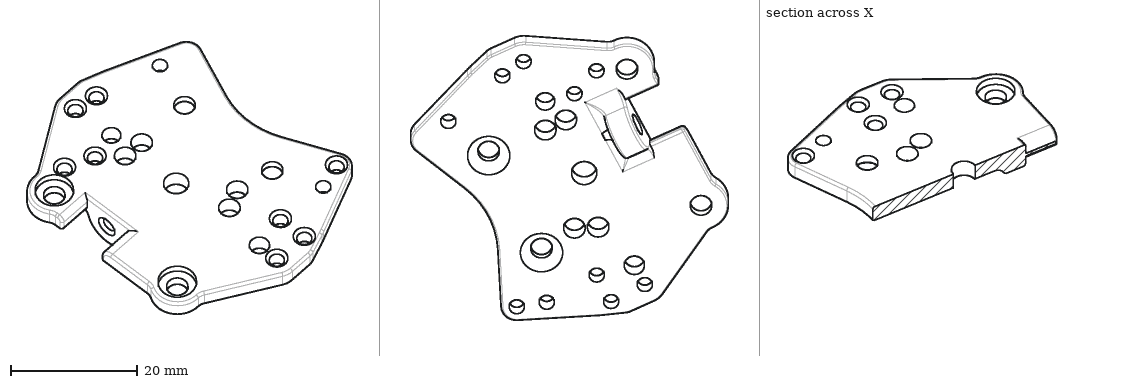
import cadquery as cq
import math

thickness = 3.0
top_edge_radius = 0.45
bottom_edge_radius = 0.3
front_y = -17.55
rear_valley = (0, 15.7, 15.05)
right_corners = [
    (17.55, 23.25, 2.5),
    (23.55, 8.75, 15.05),
    (25.05, 4.55, 2.5),
    (25.05, -0.95, 3.35),
    (15.15, front_y, 0),
]

ear_x = 13.3
ear_y = -14.15
ear_radius = 4.35
ear_blend_radius = 2.0

notch_left = -8.45
notch_right = 0.0
notch_back = -11.6
notch_left_radius = 1.0
notch_right_radius = 2.0
notch_back_radius = 0.5

tab_x = -4.3
tab_z = -4.0
tab_radius = 4.25
tab_depth = 4.0
tab_side_flare = 2.75
tab_back_flare = 2.0
tab_edge_radius = 0.4

bolt_hole = 3.4
ear_counterbore = 6.1
ear_counterbore_depth = 1.3
rear_bolt_x = 9.45
rear_bolt_y = 12.25
rear_countersink_depth = 1.65

screw_hole = 2.4
screw_chamfer = 0.55
screw_points = [
    (16.25, 19.95), (16.9, 6.1), (22.05, 6.1), (21.75, 0),
    (-21.0, 4.1), (-21.75, 0), (-13.15, -4.75), (-15.2, -9.7),
]

plain_holes = [
    (4.0, [(0, 0)]),
    (3.0, [(-14.0, 0)]),
    (3.2, [(18.0, 0)]),
    (2.4, [(-17.65, 15.35), (17.65, 15.35)]),
    (3.4, [(-9.45, 2.2), (9.45, 2.2), (-9.6, -1.5), (7.95, 5.65)]),
]

margin = 0.05


def rounded_outline(corners):
    """Closed outline through the corners, each rounded by a tangent arc of its own radius."""
    outline = cq.Workplane("XY")
    for i, (x, y, radius) in enumerate(corners):
        corner = cq.Vector(x, y)
        next_corner = corners[(i + 1) % len(corners)]
        to_previous = (cq.Vector(*corners[i - 1][:2]) - corner).normalized()
        to_next = (cq.Vector(*next_corner[:2]) - corner).normalized()
        half_angle = to_previous.getAngle(to_next) / 2
        setback = radius / math.tan(half_angle)
        inset = radius / math.sin(half_angle) - radius
        start = corner + to_previous * setback
        middle = corner + (to_previous + to_next).normalized() * inset
        end = corner + to_next * setback
        if i == 0:
            outline = outline.moveTo(start.x, start.y)
        else:
            outline = outline.lineTo(start.x, start.y)
        if radius > 0:
            outline = outline.threePointArc((middle.x, middle.y), (end.x, end.y))
    return outline.close()


def both_sides(x, y):
    return [(-x, y), (x, y)]


def make_plate():
    """Plate with the two ears blended into its front corners."""
    left_corners = [(-x, y, radius) for x, y, radius in reversed(right_corners)]
    plate = rounded_outline([rear_valley] + right_corners + left_corners).extrude(-thickness)
    ears = cq.Workplane("XY").pushPoints(both_sides(ear_x, ear_y)).circle(ear_radius).extrude(-thickness)
    plate = plate.union(ears)
    reach = ear_radius + ear_blend_radius
    for x in (-ear_x, ear_x):
        ear_zone = cq.selectors.BoxSelector(
            (x - reach, ear_y - ear_radius, -thickness),
            (x + reach, ear_y + ear_radius, 0),
        )
        plate = plate.edges("|Z").edges(ear_zone).fillet(ear_blend_radius)
    return plate


def cut_notch(plate):
    """Notch through the front edge; each wall rounds into the top face with its own radius."""
    middle_x = (notch_left + notch_right) / 2
    middle_y = (front_y + notch_back) / 2
    length = notch_back - front_y
    notch = (
        cq.Workplane("XY", origin=(middle_x, front_y, 0))
        .rect(notch_right - notch_left, 2 * length).extrude(-thickness)
    )
    plate = plate.cut(notch)
    for x, y, radius in [
        (notch_left, middle_y, notch_left_radius),
        (notch_right, middle_y, notch_right_radius),
        (middle_x, notch_back, notch_back_radius),
    ]:
        wall_top = cq.selectors.NearestToPointSelector((x, y, 0))
        plate = plate.edges(wall_top).fillet(radius)
    return plate


def round_rim(plate, face, radius):
    """Round the outer rim of the top or bottom face, leaving out the edges of the notch."""
    notch_zone = cq.selectors.BoxSelector(
        (notch_left - notch_left_radius - margin, front_y + margin, -thickness - margin),
        (notch_right + notch_right_radius + margin, notch_back + notch_back_radius + margin, margin),
    )
    rim = cq.selectors.SubtractSelector(cq.selectors.Selector(), notch_zone)
    return plate.faces(face).edges(rim).fillet(radius)


def make_tab():
    """Round hinge tab, sunk into the plate, that flares into the underside at its sides and back."""
    sunk_z = -thickness / 2
    flare_z = -thickness - tab_side_flare
    flare_x = math.sqrt((tab_radius + tab_side_flare) ** 2 - (flare_z - tab_z) ** 2)
    touch_ratio = tab_radius / (tab_radius + tab_side_flare)
    touch_x = flare_x * touch_ratio
    touch_z = tab_z + (flare_z - tab_z) * touch_ratio
    front_profile = (
        cq.Workplane("XZ", origin=(tab_x, 0, 0))
        .moveTo(-flare_x, sunk_z)
        .lineTo(-flare_x, -thickness)
        .radiusArc((-touch_x, touch_z), tab_side_flare)
        .threePointArc((0, tab_z - tab_radius), (touch_x, touch_z))
        .radiusArc((flare_x, -thickness), tab_side_flare)
        .lineTo(flare_x, sunk_z)
        .close()
        .extrude(-front_y)
    )
    tab_back = notch_back + tab_depth
    bottom_z = tab_z - 2 * tab_radius
    side_profile = (
        cq.Workplane("YZ", origin=(tab_x, 0, 0))
        .moveTo(notch_back, sunk_z)
        .lineTo(notch_back, bottom_z)
        .lineTo(tab_back, bottom_z)
        .lineTo(tab_back, -thickness - tab_back_flare)
        .radiusArc((tab_back + tab_back_flare, -thickness), tab_back_flare)
        .lineTo(tab_back + tab_back_flare, sunk_z)
        .close()
        .extrude(2 * flare_x, both=True)
    )
    tab = front_profile.intersect(side_profile)
    for y in (notch_back, tab_back):
        rim = cq.selectors.NearestToPointSelector((tab_x, y, tab_z - tab_radius))
        tab = tab.edges(rim).fillet(tab_edge_radius)
    return tab


def flared_drill(workplane, points, diameter, length, flare):
    """Cutters for through holes that start with a 45 degree flare on the given workplane."""
    radius = diameter / 2
    centres = workplane.pushPoints(points)
    shafts = centres.circle(radius).extrude(-length)
    mouths = centres.circle(radius + flare).extrude(-flare, taper=45)
    return shafts.union(mouths)


def cut_holes(body):
    top = cq.Workplane("XY")
    for diameter, points in plain_holes:
        body = body.cut(top.pushPoints(points).circle(diameter / 2).extrude(-thickness))

    ears = top.pushPoints(both_sides(ear_x, ear_y))
    body = body.cut(ears.circle(bolt_hole / 2).extrude(-thickness))
    body = body.cut(ears.circle(ear_counterbore / 2).extrude(-ear_counterbore_depth))

    underside = cq.Workplane("XY", origin=(0, 0, -thickness)).transformed(rotate=(180, 0, 0))
    rear_bolts = both_sides(rear_bolt_x, -rear_bolt_y)
    body = body.cut(flared_drill(underside, rear_bolts, bolt_hole, thickness, rear_countersink_depth))

    body = body.cut(flared_drill(top, screw_points, screw_hole, thickness, screw_chamfer))

    tab_front = cq.Workplane("XZ", origin=(tab_x, notch_back, tab_z))
    tab_drill_length = tab_depth + tab_back_flare
    return body.cut(flared_drill(tab_front, [(0, 0)], screw_hole, tab_drill_length, screw_chamfer))


plate = cut_notch(make_plate())
plate = round_rim(plate, "<Z", bottom_edge_radius)
plate = round_rim(plate, ">Z", top_edge_radius)
result = cut_holes(plate.union(make_tab()))